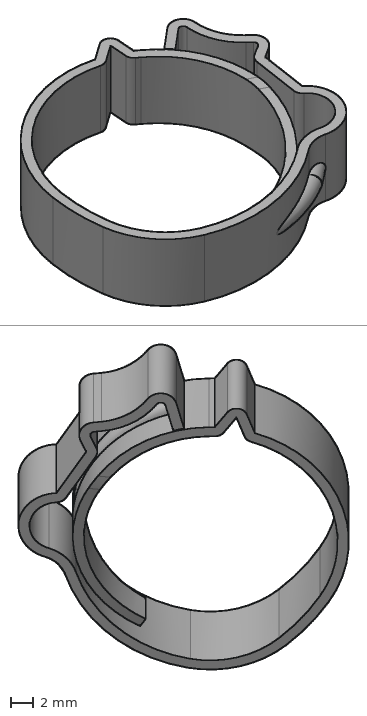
import cadquery as cq
import math


BAND_WIDTH = 8.0
THICKNESS = 1.0
HALF_THICK = THICKNESS / 2
RING_INNER_RADIUS = 11.48
RING_RADIUS = RING_INNER_RADIUS + HALF_THICK
RING_OUTER_RADIUS = RING_INNER_RADIUS + THICKNESS
SHARP_BEND = HALF_THICK
BOTTOM_SEAM = (0, -RING_RADIUS)

HOOK_AND_TONGUE = [
    (RING_RADIUS, -102.3),
    (SHARP_BEND, 51.6),
    (2.13,),
    (SHARP_BEND, -124.8),
    (1.95,),
    (SHARP_BEND, 53.8),
    (0.52,),
    (RING_RADIUS, -148.4),
]

WRAP_MOVES = [(20.82, 16.5), (9.7, 53.9), (14.07, 62.1)]
FLAT_LENGTH = 5.22
NECK_MOVE = (3.4, -54.4)
EAR_LOOP_MOVE = (3.05, 159.1)
HEADING_AFTER_LOOP = sum(angle for _, angle in [*WRAP_MOVES, NECK_MOVE, EAR_LOOP_MOVE])
WRAP_AND_EAR = [
    *WRAP_MOVES,
    NECK_MOVE,
    EAR_LOOP_MOVE,
    (SHARP_BEND, 180 - HEADING_AFTER_LOOP),
    (FLAT_LENGTH,),
    (SHARP_BEND, -53.6),
    (1.33,),
    (0.92, 106.7),
    (0.7,),
    (6.4, -48.9),
    (0.95, 130.5),
    (2.8,),
]

TAPER_CUT_ANGLE = 66
TAPER_START = -5.15
TAPER_SLOPE = 8.3
TAPER_BLEND_RADIUS = 10.38
TAPER_REACH = 17.3

BEAD_RADIUS = 1.0
WRAP_BEAD_CENTRE = (-2.0, 1.75)
WRAP_BEAD_OUTER_RADIUS = 15.29
WRAP_BEAD_ANGLES = (3, 34)
WRAP_BEAD_STRAIGHT = 2.75
WRAP_BEAD_HEADING = 132
CRESCENT_CENTRE = (-0.8, -0.05)
CRESCENT_OUTER_RADIUS = 12.95
CRESCENT_ANGLES = (50, 134)


def polar(centre, radius, angle):
    """Point at a radius and an angle in degrees about a centre."""
    turn = math.radians(angle)
    return (centre[0] + radius * math.cos(turn), centre[1] + radius * math.sin(turn))


def bend_centre(point, heading, radius, angle):
    """Centre of a bend that begins at a point."""
    side = math.copysign(90, angle)
    return polar(point, radius, heading + side)


def bend_centres(point, heading, bends):
    """Centres of a chain of bends that follow one another without straights."""
    centres = []
    for radius, angle in bends:
        centre = bend_centre(point, heading, radius, angle)
        centres.append(centre)
        heading += angle
        point = polar(centre, radius, heading - math.copysign(90, angle))
    return centres


def edge_of_strip(start, heading, moves, offset):
    """Start point, edges and end point of a strip side, offset to the left of the mid line."""
    point = start
    corner = polar(point, offset, heading + 90)
    first_corner = corner
    edges = []
    for move in moves:
        if len(move) == 1:
            point = polar(point, move[0], heading)
            next_corner = polar(point, offset, heading + 90)
            edges.append(cq.Edge.makeLine(cq.Vector(*corner), cq.Vector(*next_corner)))
        else:
            radius, angle = move
            side = math.copysign(1, angle)
            centre = bend_centre(point, heading, radius, angle)
            spoke = heading - 90 * side
            edge_radius = radius - side * offset
            middle = polar(centre, edge_radius, spoke + angle / 2)
            next_corner = polar(centre, edge_radius, spoke + angle)
            if edge_radius > 0:
                ends = [cq.Vector(*place) for place in (corner, middle, next_corner)]
                edges.append(cq.Edge.makeThreePointArc(*ends))
            point = polar(centre, radius, spoke + angle)
            heading += angle
        corner = next_corner
    return first_corner, edges, corner


def make_strip(start, heading, moves):
    """Strip of the band's thickness and width, bent along its moves."""
    left_start, left_edges, left_end = edge_of_strip(start, heading, moves, HALF_THICK)
    right_start, right_edges, right_end = edge_of_strip(start, heading, moves, -HALF_THICK)
    caps = [
        cq.Edge.makeLine(cq.Vector(*left_end), cq.Vector(*right_end)),
        cq.Edge.makeLine(cq.Vector(*right_start), cq.Vector(*left_start)),
    ]
    outline = cq.Wire.assembleEdges([*left_edges, caps[0], *reversed(right_edges), caps[1]])
    strip = cq.Solid.extrudeLinear(outline, [], cq.Vector(0, 0, BAND_WIDTH))
    return cq.Workplane(obj=strip.translate(cq.Vector(0, 0, -BAND_WIDTH / 2)))


def make_taper_cutter():
    """Wedge above the upper sloping edge of the tongue, with a rounded start."""
    top = BAND_WIDTH / 2
    drop = (TAPER_REACH - TAPER_START) * math.tan(math.radians(TAPER_SLOPE))
    blend_run = TAPER_BLEND_RADIUS * math.tan(math.radians(TAPER_SLOPE / 2))
    blend_end = polar((TAPER_START, top), blend_run, -TAPER_SLOPE)
    across = TAPER_CUT_ANGLE - 90
    plane = cq.Plane(
        origin=(0, 0, 0),
        xDir=(*polar((0, 0), 1, across), 0),
        normal=(*polar((0, 0), 1, across - 90), 0),
    )
    return (
        cq.Workplane(plane)
        .moveTo(TAPER_START - blend_run, top)
        .radiusArc(blend_end, TAPER_BLEND_RADIUS)
        .lineTo(TAPER_REACH, top - drop)
        .lineTo(TAPER_REACH, top)
        .close()
        .extrude(-TAPER_REACH)
    )


def make_arc_rod(centre, outer_radius, angles):
    """Round rod along an arc about a vertical axis."""
    start, end = angles
    return (
        cq.Workplane("XZ")
        .center(outer_radius - BEAD_RADIUS, 0)
        .circle(BEAD_RADIUS)
        .revolve(end - start, (BEAD_RADIUS - outer_radius, 0), (BEAD_RADIUS - outer_radius, 1))
        .rotate((0, 0, 0), (0, 0, 1), start)
        .translate((*centre, 0))
    )


def make_core(centre, radius):
    """Full-width disc used to trim the beads."""
    return cq.Workplane("XY").center(*centre).circle(radius).extrude(BAND_WIDTH / 2, both=True)


def make_wrap_bead():
    """Bead on the outside of the wrap, with a mitred turn into the neck of the ear."""
    end_angle = WRAP_BEAD_ANGLES[1]
    rod = make_arc_rod(WRAP_BEAD_CENTRE, WRAP_BEAD_OUTER_RADIUS, WRAP_BEAD_ANGLES)
    seam = polar(WRAP_BEAD_CENTRE, WRAP_BEAD_OUTER_RADIUS - BEAD_RADIUS, end_angle)
    run_direction = (*polar((0, 0), 1, WRAP_BEAD_HEADING), 0)
    turn = WRAP_BEAD_HEADING - (end_angle + 90)
    mitre_length = BEAD_RADIUS * math.tan(math.radians(turn / 2))
    run_start = polar(seam, -mitre_length, WRAP_BEAD_HEADING)
    run_plane = cq.Plane(origin=(*run_start, 0), xDir=(0, 0, 1), normal=run_direction)
    run_up = cq.Workplane(run_plane).circle(BEAD_RADIUS).extrude(WRAP_BEAD_STRAIGHT)

    centres = bend_centres(BOTTOM_SEAM, 0, [*WRAP_MOVES, NECK_MOVE])
    wrap_core = make_core(centres[-2], WRAP_MOVES[-1][0])
    neck_core = make_core(centres[-1], NECK_MOVE[0])
    return rod.union(run_up.intersect(neck_core)).cut(wrap_core)


def make_band():
    """Bent strip from the foot, round the ear and the ring, to the tip of the tongue."""
    cutter = make_taper_cutter()
    tongue_half = make_strip(BOTTOM_SEAM, 180, HOOK_AND_TONGUE).cut(cutter).cut(cutter.mirror("XY"))
    ear_half = make_strip(BOTTOM_SEAM, 0, WRAP_AND_EAR)
    return tongue_half.union(ear_half).union(make_wrap_bead())


def make_crescent(band):
    """Crescent bead on the outside of the tongue, from the foot to the wrap."""
    rod = make_arc_rod(CRESCENT_CENTRE, CRESCENT_OUTER_RADIUS, CRESCENT_ANGLES)
    return rod.cut(make_core((0, 0), RING_OUTER_RADIUS)).cut(band)


band = make_band()
crescent = make_crescent(band)
result = cq.Compound.makeCompound([band.solids().val(), crescent.solids().val()])